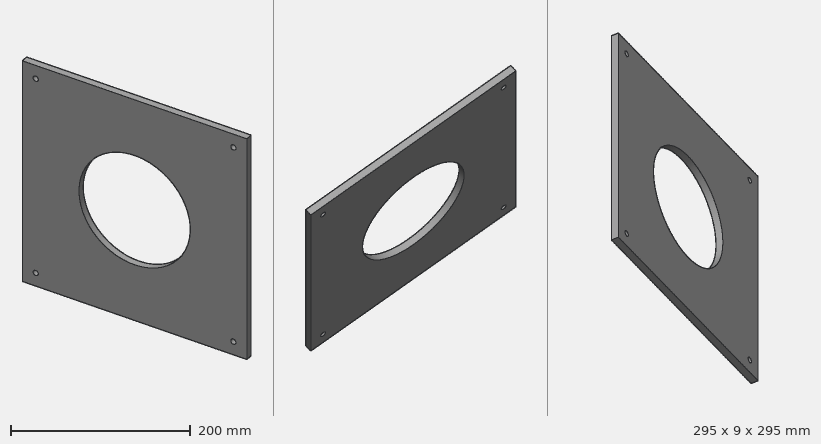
import cadquery as cq

plate_side = 295.0
plate_thickness = 9.0

opening_diameter = 146.0
mounting_hole_diameter = 6.8
mounting_hole_inset = 17.7
mounting_hole_spacing = plate_side - 2 * mounting_hole_inset

plate = cq.Workplane("XY").box(plate_side, plate_thickness, plate_side)

plate_with_opening = plate.faces("<Y").workplane().hole(opening_diameter)

result = (
    plate_with_opening.faces("<Y")
    .workplane(origin=(0, 0, 0))
    .rect(mounting_hole_spacing, mounting_hole_spacing, forConstruction=True)
    .vertices()
    .hole(mounting_hole_diameter)
)